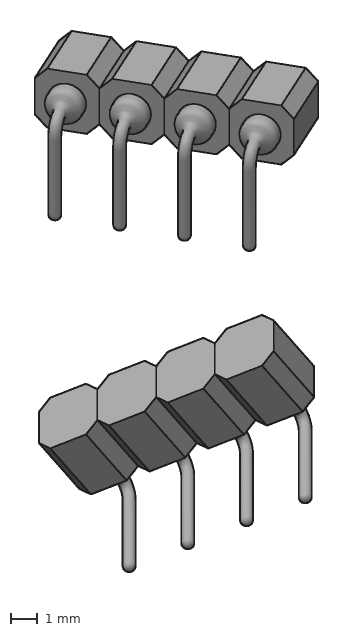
import cadquery as cq
import math


contact_count = 4
row_length = 10.17
pitch = row_length / contact_count

block_height = 2.54
block_depth = 3.0
corner_chamfer = 0.5

collar_radius = 0.75
collar_length = 0.5
shoulder_angle = 60.0
shoulder_fillet = 0.3

pin_diameter = 0.5
pin_radius = pin_diameter / 2
overall_depth = 4.75
overall_height = 5.54
pin_reach = overall_depth - block_depth - pin_radius
pin_bottom = block_height / 2 - overall_height

shoulder_length = (collar_radius - pin_radius) / math.tan(math.radians(shoulder_angle))
neck_position = collar_length + shoulder_length
bend_radius = pin_reach - neck_position


def make_block():
    """Octagonal prism behind the front face."""
    return (
        cq.Workplane("XZ")
        .rect(pitch, block_height)
        .extrude(-block_depth)
        .edges("|Y")
        .chamfer(corner_chamfer)
    )


def make_collar():
    """Cylinder with a conical shoulder, turned about the contact axis."""
    return (
        cq.Workplane("XY")
        .lineTo(collar_radius, 0)
        .lineTo(collar_radius, -collar_length)
        .lineTo(pin_radius, -neck_position)
        .lineTo(0, -neck_position)
        .close()
        .revolve(360, (0, 0), (0, 1))
    )


def make_pin():
    """Round pin that bends down and ends in a hemispherical tip."""
    leg_end = pin_bottom + pin_radius
    bend_middle = bend_radius * math.sin(math.radians(45))
    path = (
        cq.Workplane("YZ")
        .moveTo(-neck_position, 0)
        .threePointArc(
            (-neck_position - bend_middle, bend_middle - bend_radius),
            (-pin_reach, -bend_radius),
        )
        .lineTo(-pin_reach, leg_end)
    )
    bent_rod = (
        cq.Workplane("XZ", origin=(0, -neck_position, 0))
        .circle(pin_radius)
        .sweep(path)
    )
    tip = cq.Workplane("XY", origin=(0, -pin_reach, leg_end)).sphere(pin_radius)
    return bent_rod.union(tip)


def make_contact():
    """Block, collar and pin as one solid, with both shoulder edges rounded."""
    contact = make_collar().union(make_pin())
    for edge_position in (collar_length, neck_position):
        edge = cq.selectors.NearestToPointSelector((0, -edge_position, 0))
        contact = contact.edges(edge).fillet(shoulder_fillet)
    return make_block().union(contact).solids().val()


contact = make_contact()
contacts = []
for index in range(contact_count):
    offset = (index - (contact_count - 1) / 2) * pitch
    contacts.append(contact.translate(cq.Vector(offset, 0, 0)))

result = cq.Compound.makeCompound(contacts)